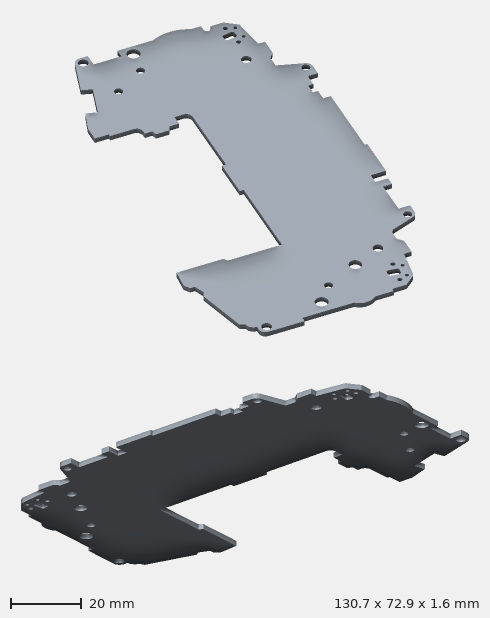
import cadquery as cq

LENGTH = 130.69
WIDTH = 72.92
THICKNESS = 1.6

RIGHT = LENGTH / 2
LEFT = -RIGHT
TOP = WIDTH / 2
BOTTOM = -TOP
STEP_DEPTH = 0.8
TOP_STEP = TOP - STEP_DEPTH
NOTCH_FLOOR = 31.7
SHOULDER = 28.5
SHOULDER_VALLEY = 26.95
SIDE_INSET = 1.4
LEFT_SIDE = LEFT + SIDE_INSET
RIGHT_SIDE = 63.8
BAY_TOP = -3.7
BAY_TAB = -4.95
BAY_TAB_HALF = 6.1
BAY_LEFT = -30.9
BAY_RIGHT = 32.28
CONNECTOR_EDGE = -27.8
CONNECTOR_TIP = -26.25
LEFT_LEG_EDGE = -31.7
LEFT_LEG_BOTTOM = -32.9
RIGHT_LEG_EDGE = 31.1
EAR_TOP = -19.85
EAR_NOTCH_TOP = -11.2
EAR_NOTCH_X = -61.3
RIGHT_EAR_TOP = -11.6
RIGHT_EAR_BOTTOM = -24.95

LEFT_TAB_CORNER = (-36.6, TOP)
RIGHT_TAB_CORNER = (36.2, TOP)
RIGHT_VALLEY_CORNER = (39.6, SHOULDER_VALLEY)
RIGHT_SHOULDER_CORNER = (59.85, 24.8)
NOTCH_CORNER = (-31.6, 33.3)
BAY_CORNER = (BAY_LEFT, BAY_TOP)
CONNECTOR_CORNER = (BAY_LEFT, -19.1)
LEFT_EAR_CORNER = (LEFT, -24.1)
RIGHT_EAR_CORNER = (RIGHT, RIGHT_EAR_BOTTOM)
SCREW_FILLET = 2.1
BAY_FILLET = 2.0
VALLEY_FILLET = 1.8
SHOULDER_FILLET = 3.0
NOTCH_FILLET = 0.6
ROUNDED_CORNERS = [
    (NOTCH_CORNER, NOTCH_FILLET),
    (LEFT_TAB_CORNER, SCREW_FILLET),
    (RIGHT_TAB_CORNER, SCREW_FILLET),
    (RIGHT_VALLEY_CORNER, VALLEY_FILLET),
    (RIGHT_SHOULDER_CORNER, SHOULDER_FILLET),
    (BAY_CORNER, BAY_FILLET),
    (CONNECTOR_CORNER, BAY_FILLET),
    (LEFT_EAR_CORNER, SCREW_FILLET),
    (RIGHT_EAR_CORNER, SCREW_FILLET),
]

TOP_EDGE = [
    LEFT_TAB_CORNER,
    (-31.6, TOP),
    NOTCH_CORNER,
    (-27.8, 33.3),
    (-27.8, NOTCH_FLOOR),
    (-24.55, NOTCH_FLOOR),
    (-24.55, 33.3),
    (-21.0, 33.3),
    (-21.0, TOP_STEP),
    (2.25, TOP_STEP),
    (2.25, TOP),
    (15.15, TOP),
    (15.15, NOTCH_FLOOR),
    (18.35, NOTCH_FLOOR),
    (18.35, TOP_STEP),
    (21.1, TOP_STEP),
    (21.1, 32.85),
    (31.65, 32.85),
    (31.65, TOP),
    RIGHT_TAB_CORNER,
]
RIGHT_SHOULDER = [
    RIGHT_VALLEY_CORNER,
    (43.4, SHOULDER_VALLEY),
    (45.0, SHOULDER),
    (50.25, SHOULDER),
    (50.25, 26.15),
    RIGHT_SHOULDER_CORNER,
    (62.8, 21.2),
    (62.8, 16.8),
    (RIGHT_SIDE, 16.8),
    (RIGHT_SIDE, 11.1),
]
RIGHT_BULGE_PEAK = (65.05, 7.8)
RIGHT_BULGE_END = (RIGHT_SIDE, 4.5)
RIGHT_LEG = [
    (RIGHT_SIDE, RIGHT_EAR_TOP),
    (RIGHT, RIGHT_EAR_TOP),
    RIGHT_EAR_CORNER,
    (62.0, RIGHT_EAR_BOTTOM),
    (62.0, -25.8),
    (61.0, -27.1),
    (59.8, -27.5),
    (59.15, -29.05),
    (43.6, -33.25),
    (42.1, -32.45),
    (38.9, -33.75),
    (38.9, -35.2),
    (37.1, BOTTOM),
    (RIGHT_LEG_EDGE, -35.95),
    (RIGHT_LEG_EDGE, -21.4),
    (BAY_RIGHT, -20.6),
]
BAY_EDGE = [
    (BAY_RIGHT, BAY_TOP),
    (BAY_TAB_HALF, BAY_TOP),
    (BAY_TAB_HALF, BAY_TAB),
    (-BAY_TAB_HALF, BAY_TAB),
    (-BAY_TAB_HALF, BAY_TOP),
    BAY_CORNER,
    (BAY_LEFT, -8.45),
    (CONNECTOR_EDGE, -8.45),
    (CONNECTOR_EDGE, -11.5),
    (CONNECTOR_TIP, -12.2),
    (CONNECTOR_TIP, -16.3),
    (CONNECTOR_EDGE, -16.8),
    (CONNECTOR_EDGE, -19.1),
    CONNECTOR_CORNER,
]
LEFT_LEG = [
    (BAY_LEFT, -28.5),
    (LEFT_LEG_EDGE, -28.5),
    (LEFT_LEG_EDGE, LEFT_LEG_BOTTOM),
    (-36.4, LEFT_LEG_BOTTOM),
    (-42.75, -30.85),
    (-41.85, -27.35),
    (-51.5, -24.55),
    (-52.5, -27.8),
    LEFT_EAR_CORNER,
    (LEFT, EAR_TOP),
    (EAR_NOTCH_X, EAR_TOP),
    (EAR_NOTCH_X, EAR_NOTCH_TOP),
    (LEFT_SIDE, EAR_NOTCH_TOP),
    (LEFT_SIDE, -0.2),
]
LEFT_BULGE_PEAK = (LEFT, 5.7)
LEFT_BULGE_END = (LEFT_SIDE, 11.6)
SIDE_NOTCH_START = [(LEFT_SIDE, 14.75), (-62.3, 14.75)]
SIDE_NOTCH_PEAK = (-61.15, 15.95)
SIDE_NOTCH_END = (-62.3, 17.15)
LEFT_SHOULDER = [
    (-62.8, 17.15),
    (-62.8, 21.1),
    (-60.05, 25.0),
    (-50.3, 26.35),
    (-50.3, SHOULDER),
    (-45.15, SHOULDER),
    (-43.15, SHOULDER_VALLEY),
    (-39.6, SHOULDER_VALLEY),
]

TAB_HOLES = (2.5, [(-35.3, 34.4), (34.95, 34.2)])
LOCATING_HOLES = (2.54, [(-53.35, -8.85), (-47.7, -18.25), (53.9, 1.0)])
SCREW_HOLES = (3.0, [(-45.4, 20.45), (44.9, 20.45), (-63.1, -22.25), (63.05, -22.4)])
POST_HOLE = (3.8, [(48.8, 11.65)])
LARGE_HOLES = (4.0, [(-60.85, -7.65), (59.65, -3.75)])
ROUND_HOLES = [TAB_HOLES, LOCATING_HOLES, SCREW_HOLES, POST_HOLE, LARGE_HOLES]

SWITCH_TILT = 8.0
LEFT_SWITCH = (-56.65, 20.4)
RIGHT_SWITCH = (56.35, 20.2)
SLOT_WIDTH = 2.5
SLOT_LENGTH = 3.8
SLOT_CORNER_RADIUS = 0.7
UPPER_PIN_DIAMETER = 1.1
LOWER_PIN_DIAMETER = 1.4
UPPER_PIN_HALF_PITCH = 2.25
UPPER_PIN_OFFSET = 3.25
LOWER_PIN_HALF_PITCH = 3.5
LOWER_PIN_OFFSET = 0.75


def board_blank():
    """Flat plate with the full outline, before corner rounding and drilling."""
    outline = (
        cq.Workplane("XY")
        .polyline(TOP_EDGE + RIGHT_SHOULDER)
        .threePointArc(RIGHT_BULGE_PEAK, RIGHT_BULGE_END)
        .polyline(RIGHT_LEG + BAY_EDGE + LEFT_LEG, includeCurrent=True)
        .threePointArc(LEFT_BULGE_PEAK, LEFT_BULGE_END)
        .polyline(SIDE_NOTCH_START, includeCurrent=True)
        .threePointArc(SIDE_NOTCH_PEAK, SIDE_NOTCH_END)
        .polyline(LEFT_SHOULDER, includeCurrent=True)
        .close()
    )
    return outline.extrude(THICKNESS)


def round_corner(board, corner, radius):
    """Fillet the vertical edge that stands on one outline corner."""
    mid_edge = (corner[0], corner[1], THICKNESS / 2)
    return board.edges("|Z").edges(cq.selectors.NearestToPointSelector(mid_edge)).fillet(radius)


def hole_cutters(diameter, centres):
    """Plate-deep cylinders of one diameter."""
    return cq.Workplane("XY").pushPoints(centres).circle(diameter / 2).extrude(THICKNESS)


def pin_pair(diameter, half_pitch, offset):
    """Two pin hole cutters mirrored about the switch centreline."""
    return hole_cutters(diameter, [(-half_pitch, offset), (half_pitch, offset)])


def switch_cutter(centre, tilt):
    """Slot and pin holes of one shoulder switch, turned by tilt about the slot centre."""
    slot = cq.Workplane("XY").rect(SLOT_WIDTH, SLOT_LENGTH).extrude(THICKNESS)
    slot = slot.edges("|Z").fillet(SLOT_CORNER_RADIUS)
    upper_pins = pin_pair(UPPER_PIN_DIAMETER, UPPER_PIN_HALF_PITCH, UPPER_PIN_OFFSET)
    lower_pins = pin_pair(LOWER_PIN_DIAMETER, LOWER_PIN_HALF_PITCH, LOWER_PIN_OFFSET)
    footprint = slot.union(upper_pins).union(lower_pins)
    return footprint.rotate((0, 0, 0), (0, 0, 1), tilt).translate((centre[0], centre[1], 0))


result = board_blank()
for corner_point, corner_radius in ROUNDED_CORNERS:
    result = round_corner(result, corner_point, corner_radius)
for hole_diameter, hole_centres in ROUND_HOLES:
    result = result.cut(hole_cutters(hole_diameter, hole_centres))
result = result.cut(switch_cutter(LEFT_SWITCH, SWITCH_TILT))
result = result.cut(switch_cutter(RIGHT_SWITCH, -SWITCH_TILT))